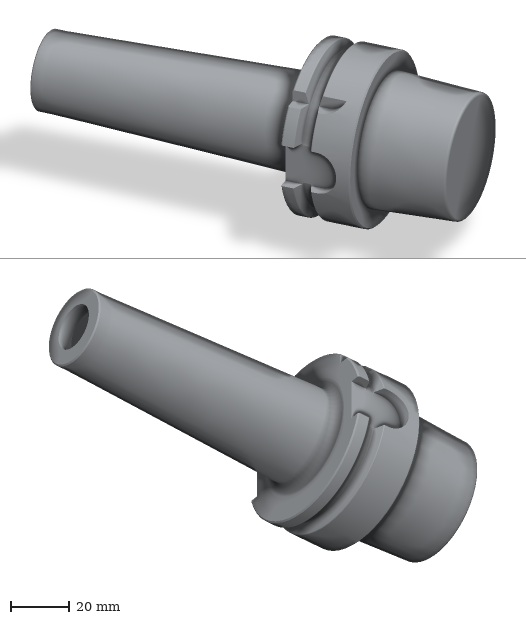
import cadquery as cq
import math

DIAGONAL = math.sqrt(0.5)

FLANGE_FACE = 100.0
FLANGE_WIDTH = 26.0
TOTAL_LENGTH = 158.0
SEAT_FACE = FLANGE_FACE + FLANGE_WIDTH

NOSE_DIAMETER = 29.0
NOSE_CYLINDER = 5.0
NOSE_CHAMFER = 0.5
NECK_DIAMETER = 35.8
NECK_START = 95.7
NECK_FILLET = 3.0
UNDERCUT_DEPTH = 0.2
UNDERCUT_DIAMETER = 44.6
BORE_DIAMETER = 17.0
BORE_DEPTH = 5.5

FLANGE_DIAMETER = 63.0
FLANGE_CHAMFER = 0.5
GROOVE_DIAMETER = 55.0
GROOVE_CENTRE = FLANGE_FACE + 8.0
GROOVE_FLOOR_WIDTH = 3.2
GROOVE_FLANK_ANGLE = 22.0
GROOVE_EDGE_RADIUS = 0.5

TAPER_LARGE_DIAMETER = 48.7
TAPER_SMALL_DIAMETER = 45.4
TAPER_END_RADIUS = 1.0

KEYWAY_FLOOR = 26.5
KEYWAY_END = FLANGE_FACE + 21.0
KEYWAY_CORNER_RADIUS = 8.0
FRONT_KEYWAY_WIDTH = 16.0
BACK_KEYWAY_WIDTH = 18.0

NOTCH_OFFSET = 20.0
NOTCH_FLOOR_END = FLANGE_FACE + 13.0
NOTCH_END_RADIUS = 8.0


def round_groove_edges(body):
    """Round the two mouth edges and the two floor edges of the gripper groove."""
    reach = FLANGE_DIAMETER
    groove_zone = cq.selectors.BoxSelector(
        (FLANGE_FACE + 2 * FLANGE_CHAMFER, -reach, -reach),
        (SEAT_FACE - 2 * FLANGE_CHAMFER, reach, reach),
    )
    return body.edges("%CIRCLE").edges(groove_zone).fillet(GROOVE_EDGE_RADIUS)


def make_body():
    nose_r = NOSE_DIAMETER / 2
    neck_r = NECK_DIAMETER / 2
    flange_r = FLANGE_DIAMETER / 2
    groove_r = GROOVE_DIAMETER / 2
    half_floor = GROOVE_FLOOR_WIDTH / 2
    half_mouth = half_floor + (flange_r - groove_r) * math.tan(math.radians(GROOVE_FLANK_ANGLE))
    fillet_end = FLANGE_FACE + UNDERCUT_DEPTH
    fillet_start = fillet_end - NECK_FILLET
    fillet_middle = (
        fillet_start + NECK_FILLET * DIAGONAL,
        neck_r + NECK_FILLET * (1 - DIAGONAL),
    )
    profile = (
        cq.Workplane("XZ")
        .moveTo(0, 0)
        .lineTo(0, nose_r - NOSE_CHAMFER)
        .lineTo(NOSE_CHAMFER, nose_r)
        .lineTo(NOSE_CYLINDER, nose_r)
        .lineTo(NECK_START, neck_r)
        .lineTo(fillet_start, neck_r)
        .threePointArc(fillet_middle, (fillet_end, neck_r + NECK_FILLET))
        .lineTo(FLANGE_FACE, UNDERCUT_DIAMETER / 2)
        .lineTo(FLANGE_FACE, flange_r - FLANGE_CHAMFER)
        .lineTo(FLANGE_FACE + FLANGE_CHAMFER, flange_r)
        .lineTo(GROOVE_CENTRE - half_mouth, flange_r)
        .lineTo(GROOVE_CENTRE - half_floor, groove_r)
        .lineTo(GROOVE_CENTRE + half_floor, groove_r)
        .lineTo(GROOVE_CENTRE + half_mouth, flange_r)
        .lineTo(SEAT_FACE - FLANGE_CHAMFER, flange_r)
        .lineTo(SEAT_FACE, flange_r - FLANGE_CHAMFER)
        .lineTo(SEAT_FACE, TAPER_LARGE_DIAMETER / 2)
        .lineTo(TOTAL_LENGTH, TAPER_SMALL_DIAMETER / 2)
        .lineTo(TOTAL_LENGTH, 0)
        .close()
    )
    body = profile.revolve(360, (0, 0, 0), (1, 0, 0))
    body = round_groove_edges(body)
    return body.faces(">X").edges().fillet(TAPER_END_RADIUS)


def make_bore():
    return cq.Workplane("YZ").circle(BORE_DIAMETER / 2).extrude(BORE_DEPTH)


def make_keyway(width, side):
    """Keyway open at the flange face; side is -1 for -Y and +1 for +Y."""
    half = width / 2
    r = KEYWAY_CORNER_RADIUS
    sag = r * (1 - DIAGONAL)
    outline = (
        cq.Workplane("XZ", origin=(0, side * KEYWAY_FLOOR, 0))
        .moveTo(FLANGE_FACE, -half)
        .lineTo(KEYWAY_END - r, -half)
        .threePointArc((KEYWAY_END - sag, sag - half), (KEYWAY_END, r - half))
    )
    if half > r:
        outline = outline.lineTo(KEYWAY_END, half - r)
    outline = (
        outline.threePointArc((KEYWAY_END - sag, half - sag), (KEYWAY_END - r, half))
        .lineTo(FLANGE_FACE, half)
        .close()
    )
    return outline.extrude(-side * FLANGE_DIAMETER / 2)


def make_notch():
    """Corner notch whose floor sweeps up into a round run-out."""
    run_out = NOTCH_FLOOR_END + NOTCH_END_RADIUS
    arc_middle = (
        NOTCH_FLOOR_END + NOTCH_END_RADIUS * DIAGONAL,
        NOTCH_OFFSET + NOTCH_END_RADIUS * (1 - DIAGONAL),
    )
    return (
        cq.Workplane("XZ", origin=(0, -NOTCH_OFFSET, 0))
        .moveTo(FLANGE_FACE, NOTCH_OFFSET)
        .lineTo(NOTCH_FLOOR_END, NOTCH_OFFSET)
        .threePointArc(arc_middle, (run_out, NOTCH_OFFSET + NOTCH_END_RADIUS))
        .lineTo(FLANGE_FACE, NOTCH_OFFSET + NOTCH_END_RADIUS)
        .close()
        .extrude(FLANGE_DIAMETER / 2)
    )


result = (
    make_body()
    .cut(make_bore())
    .cut(make_keyway(FRONT_KEYWAY_WIDTH, -1))
    .cut(make_keyway(BACK_KEYWAY_WIDTH, 1))
    .cut(make_notch())
)